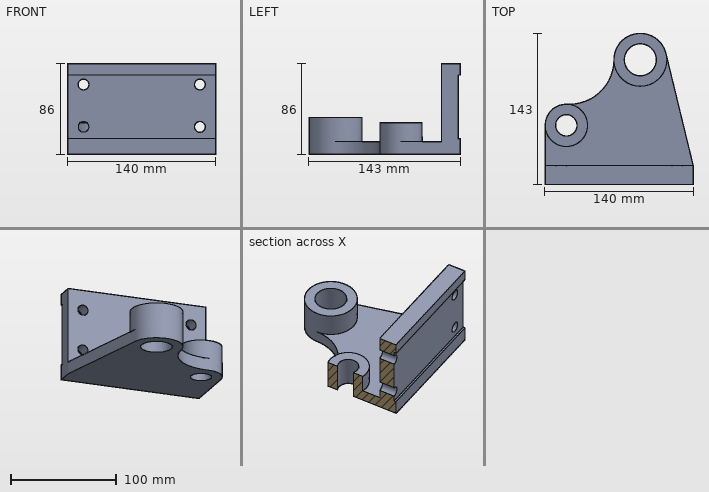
import cadquery as cq
import math

width = 140.0
depth = 143.0
height = 86.0

wall_thickness = 18.0
channel_depth = 2.0
channel_bottom = 15.0
channel_height = 60.0

hole_diameter = 10.0
hole_side_margin = 15.0
hole_bottom_z = 26.0
hole_spacing_z = 40.0

base_thickness = 12.0
small_diameter = 40.0
small_bore = 20.0
small_height = 30.0
small_y = 56.0
big_diameter = 50.0
big_bore = 30.0
big_height = 35.0
big_x = 90.0

small_radius = small_diameter / 2
big_radius = big_diameter / 2
small_x = small_radius
big_y = depth - big_radius


def make_wall():
    wall = cq.Workplane("XY").box(width, wall_thickness, height, centered=False)
    channel = (
        cq.Workplane("XY", origin=(0, 0, channel_bottom))
        .box(width, channel_depth, channel_height, centered=False)
    )
    return wall.cut(channel)


def make_base():
    corner_dx = width - big_x
    corner_dy = wall_thickness - big_y
    corner_distance = math.hypot(corner_dx, corner_dy)
    tangent_angle = math.atan2(corner_dy, corner_dx) + math.acos(big_radius / corner_distance)
    tangent_x = big_x + big_radius * math.cos(tangent_angle)
    tangent_y = big_y + big_radius * math.sin(tangent_angle)

    small_top_y = small_y + small_radius
    arc_radius = big_y - small_top_y
    arc_end_x = big_x - big_radius
    arc_center_x = arc_end_x - arc_radius
    diagonal = math.sqrt(0.5)

    return (
        cq.Workplane("XY")
        .moveTo(0, channel_depth)
        .lineTo(width, channel_depth)
        .lineTo(width, wall_thickness)
        .lineTo(tangent_x, tangent_y)
        .threePointArc((big_x, depth), (arc_end_x, big_y))
        .threePointArc(
            (arc_center_x + arc_radius * diagonal, big_y - arc_radius * diagonal),
            (arc_center_x, small_top_y),
        )
        .lineTo(small_x, small_top_y)
        .threePointArc(
            (small_x - small_radius * diagonal, small_y + small_radius * diagonal),
            (0, small_y),
        )
        .close()
        .extrude(base_thickness)
    )


def vertical_cylinder(x, y, diameter, length):
    return cq.Workplane("XY").center(x, y).circle(diameter / 2).extrude(length)


def make_mounting_holes():
    positions = [
        (x, z)
        for x in (hole_side_margin, width - hole_side_margin)
        for z in (hole_bottom_z, hole_bottom_z + hole_spacing_z)
    ]
    return (
        cq.Workplane("XZ")
        .pushPoints(positions)
        .circle(hole_diameter / 2)
        .extrude(-wall_thickness)
    )


result = make_wall().union(make_base()).cut(make_mounting_holes())

bosses = (
    (small_x, small_y, small_diameter, small_bore, small_height),
    (big_x, big_y, big_diameter, big_bore, big_height),
)
for x, y, diameter, bore, boss_height in bosses:
    result = result.union(vertical_cylinder(x, y, diameter, boss_height))
    result = result.cut(vertical_cylinder(x, y, bore, boss_height))